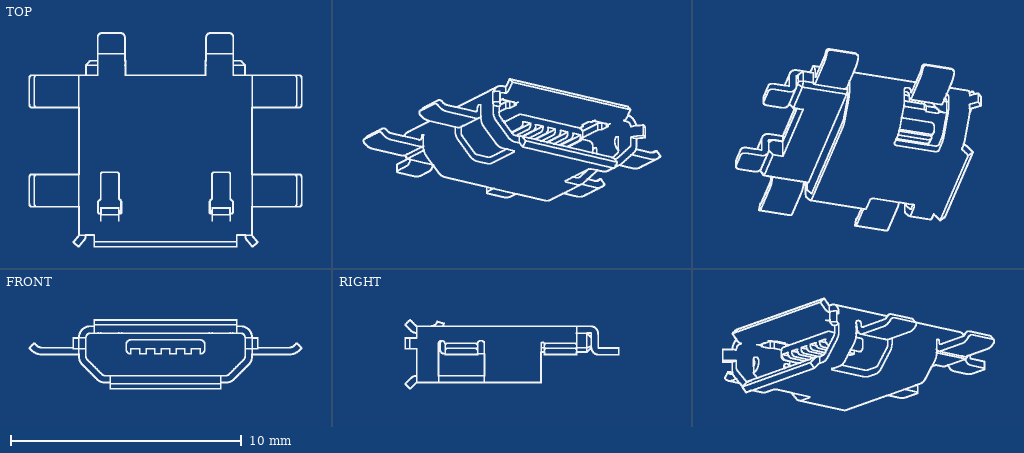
import cadquery as cq
import math

SHEET = 0.31
SHELL_WIDTH = 7.52
SHELL_HEIGHT = 2.46
ROOF_DEPTH = 6.94
FLOOR_DEPTH = 5.39
BELLY_CHAMFER = 0.93
CORNER_RADIUS = 0.51

HALF_WIDTH = SHELL_WIDTH / 2
INNER_WIDTH = SHELL_WIDTH - 2 * SHEET
INNER_HEIGHT = SHELL_HEIGHT - 2 * SHEET
INNER_RADIUS = CORNER_RADIUS - SHEET
INNER_TOP = SHELL_HEIGHT - SHEET
INNER_CHAMFER = BELLY_CHAMFER - SHEET * (2 - math.sqrt(2))

LIP_REACH = 0.51
LIP_RADIUS = 0.05
LIP_ANGLE = 45
ROOF_LIP_WIDTH = 6.19
FLOOR_LIP_WIDTH = 4.8
SIDE_LIP_WIDTH = 0.48
SIDE_LIP_ANGLE = 40
SIDE_LIP_TOP = SHELL_HEIGHT - CORNER_RADIUS

TAB_WIDTH = 1.41
TAB_TOP = 1.52
TAB_ROOT_RADIUS = 0.11
TAB_FRONT_EDGE = 1.23
TAB_SPAN = 11.82
TAB_TIP_RADIUS = 0.33
TAB_TIP_LEG = 0.14
TAB_TIP_ANGLE = 45
TAB_TIP_FILLET = 0.14
TAB_FOLD = TAB_TOP + TAB_ROOT_RADIUS
FRONT_TAB_Y = TAB_FRONT_EDGE + TAB_WIDTH / 2
REAR_TAB_Y = ROOF_DEPTH - TAB_WIDTH / 2

WINDOW_FRONT = 0.95
WINDOW_BACK = 2.93
WINDOW_INNER_X = 1.95
WINDOW_FILLET = 0.14
RELIEF_CENTER = 1.68

SPRING_X = 2.41
SPRING_WIDTH = 0.78
SPRING_ROOT = 0.63
SPRING_RADIUS = 0.27
SPRING_ANGLE = 74
SLOT_BACK = 2.72
SLOT_WIDE_FRONT = 0.92
SLOT_WIDE_BACK = 1.57
SLOT_STEP = 0.12
SLOT_FILLET = 0.07

LEG_X = 2.35
LEG_WIDTH = 1.19
LEG_RADIUS = 0.04
FOOT_RADIUS = 0.04
FOOT_TOP = 1.51
FOOT_END = 8.77
FOOT_FILLET = 0.2

CORE_BACK = 7.56
CORE_REAR_BOTTOM = 1.32
CORE_CHAMFER = 0.19
CORE_GAP_WIDTH = 3.44
TONGUE_WIDTH = 3.4
TONGUE_HEIGHT = 0.6
TONGUE_TOP = 1.85
TONGUE_FRONT = 1.0
TONGUE_FILLET = 0.19
TONGUE_WEB = 0.38
CONTACT_COUNT = 4
CONTACT_PITCH = 0.65
CONTACT_WIDTH = 0.27


def block(x_range, y_range, z_range):
    """Box between the given limits."""
    limits = (x_range, y_range, z_range)
    sizes = [high - low for low, high in limits]
    corner = [low for low, high in limits]
    return cq.Workplane().box(*sizes, centered=False).translate(tuple(corner))


def trough(width, height, bottom, chamfer, radius, y_range):
    """Solid with the D-shaped connector section and rounded corners."""
    half = width / 2
    top = bottom + height
    shoulder = bottom + chamfer
    outline = [
        (-half + chamfer, bottom), (half - chamfer, bottom), (half, shoulder),
        (half, top), (-half, top), (-half, shoulder),
    ]
    front, back = y_range
    solid = cq.Workplane("XZ", origin=(0, front, 0)).polyline(outline).close().extrude(front - back)
    return solid.edges("|Y").fillet(radius)


def bent_strip(origin, run, bend_side, width, radius, angle, leg=0, end_fillet=0):
    """Sheet strip that starts along `run`, bends toward `bend_side` and ends in a straight leg."""
    run = cq.Vector(*run)
    bend_side = cq.Vector(*bend_side)
    plane = cq.Plane(origin=origin, xDir=run, normal=run.cross(bend_side))

    def on_arc(arc_radius, degrees):
        turn = math.radians(degrees)
        return (arc_radius * math.sin(turn), radius - arc_radius * math.cos(turn))

    def along_leg(point):
        turn = math.radians(angle)
        return (point[0] + leg * math.cos(turn), point[1] + leg * math.sin(turn))

    outer = radius + SHEET
    profile = cq.Workplane(plane).threePointArc(on_arc(radius, angle / 2), on_arc(radius, angle))
    if leg:
        profile = profile.lineTo(*along_leg(on_arc(radius, angle)))
    profile = profile.lineTo(*along_leg(on_arc(outer, angle)))
    if leg:
        profile = profile.lineTo(*on_arc(outer, angle))
    profile = profile.threePointArc(on_arc(outer, angle / 2), (0, -SHEET)).close()
    strip = profile.extrude(width / 2, both=True)
    if end_fillet:
        turn = math.radians(angle)
        across = run * math.sin(turn) - bend_side * math.cos(turn)
        strip = strip.edges(cq.selectors.ParallelDirSelector(across)).fillet(end_fillet)
    return strip


def make_shell_body():
    """Folded shell: roof, side walls and the shorter floor."""
    outside = trough(SHELL_WIDTH, SHELL_HEIGHT, 0, BELLY_CHAMFER, CORNER_RADIUS, (0, ROOF_DEPTH))
    inside = trough(INNER_WIDTH, INNER_HEIGHT, SHEET, INNER_CHAMFER, INNER_RADIUS, (0, ROOF_DEPTH))
    behind_floor = block((-HALF_WIDTH, HALF_WIDTH), (FLOOR_DEPTH, ROOF_DEPTH), (0, TAB_FOLD))
    return outside.cut(inside).cut(behind_floor)


def make_window(side):
    """Opening in the side wall and floor around the front tab."""
    x_range = sorted((side * WINDOW_INNER_X, side * HALF_WIDTH))
    window = block(x_range, (WINDOW_FRONT, WINDOW_BACK), (0, TAB_FOLD))
    inner_face = "<X" if side > 0 else ">X"
    return window.faces(inner_face).edges("|Z").fillet(WINDOW_FILLET)


def make_relief(side, front, back):
    """Round-topped slot beside a tab."""
    low_x, high_x = sorted((side * (HALF_WIDTH - SHEET), side * HALF_WIDTH))
    slot = block((low_x, high_x), (front, back), (TAB_FOLD - SHEET, RELIEF_CENTER))
    arc_center = (low_x, (front + back) / 2, RELIEF_CENTER)
    rounded_top = cq.Workplane("YZ", origin=arc_center).circle((back - front) / 2).extrude(SHEET)
    return slot.union(rounded_top)


def make_tab(side, y):
    """Solder tab folded outward, with an upturned rounded tip."""
    turn = math.radians(TAB_TIP_ANGLE)
    tip_reach = (TAB_TIP_RADIUS + SHEET) * math.sin(turn) + TAB_TIP_LEG * math.cos(turn)
    tip_start = TAB_SPAN / 2 - tip_reach
    flat_length = tip_start - HALF_WIDTH - TAB_ROOT_RADIUS
    outward = (side, 0, 0)
    flat = bent_strip(
        (side * HALF_WIDTH, y, TAB_FOLD), (0, 0, -1), outward,
        TAB_WIDTH, TAB_ROOT_RADIUS, 90, flat_length,
    )
    tip = bent_strip(
        (side * tip_start, y, TAB_TOP), outward, (0, 0, 1),
        TAB_WIDTH, TAB_TIP_RADIUS, TAB_TIP_ANGLE, TAB_TIP_LEG, TAB_TIP_FILLET,
    )
    return flat.union(tip)


def make_lip(origin, flare, width, angle):
    """Lip that flares outward from the front edge."""
    turn = math.radians(angle)
    leg = (LIP_REACH - (LIP_RADIUS + SHEET) * math.sin(turn)) / math.cos(turn)
    return bent_strip(origin, (0, -1, 0), flare, width, LIP_RADIUS, angle, leg)


def make_spring_slot(x):
    """Roof slot, wider around the free end of the spring."""
    narrow = SPRING_WIDTH / 2
    wide = narrow + SLOT_STEP
    slot = block((-narrow, narrow), (SPRING_ROOT, SLOT_BACK), (INNER_TOP, SHELL_HEIGHT))
    slot = slot.faces(">Y").edges("|Z").fillet(SLOT_FILLET)
    relief = block((-wide, wide), (SLOT_WIDE_FRONT, SLOT_WIDE_BACK), (INNER_TOP, SHELL_HEIGHT))
    relief = relief.faces(">Y").edges("|Z").chamfer(SLOT_STEP)
    relief = relief.faces("<Y").edges("|Z").fillet(SLOT_FILLET)
    return slot.union(relief).translate((x, 0, 0))


def make_spring(x):
    """Short latch spring curling up out of the roof."""
    return bent_strip(
        (x, SPRING_ROOT, SHELL_HEIGHT), (0, 1, 0), (0, 0, 1),
        SPRING_WIDTH, SPRING_RADIUS, SPRING_ANGLE,
    )


def make_rear_leg(x):
    """Roof extension folded down behind the insulator and out into a foot."""
    bend_start = CORE_BACK - LEG_RADIUS
    foot_bend_top = FOOT_TOP + FOOT_RADIUS
    drop = INNER_TOP - LEG_RADIUS - foot_bend_top
    rear_face = CORE_BACK + SHEET
    foot_length = FOOT_END - rear_face - FOOT_RADIUS
    half = LEG_WIDTH / 2
    strap = block((x - half, x + half), (ROOF_DEPTH, bend_start), (INNER_TOP, SHELL_HEIGHT))
    knee = bent_strip(
        (x, bend_start, INNER_TOP), (0, 1, 0), (0, 0, -1), LEG_WIDTH, LEG_RADIUS, 90, drop,
    )
    foot = bent_strip(
        (x, rear_face, foot_bend_top), (0, 0, -1), (0, 1, 0),
        LEG_WIDTH, FOOT_RADIUS, 90, foot_length, FOOT_FILLET,
    )
    return strap.union(knee).union(foot)


def make_shell():
    shell = make_shell_body()
    for side in (-1, 1):
        shell = shell.cut(make_window(side))
        tab_back_edge = TAB_FRONT_EDGE + TAB_WIDTH
        shell = shell.cut(make_relief(side, WINDOW_FRONT, TAB_FRONT_EDGE))
        shell = shell.cut(make_relief(side, tab_back_edge, WINDOW_BACK))
        shell = shell.cut(make_relief(side, FLOOR_DEPTH, ROOF_DEPTH - TAB_WIDTH))
        shell = shell.cut(make_spring_slot(side * SPRING_X))
        shell = shell.union(make_spring(side * SPRING_X))
        for tab_y in (FRONT_TAB_Y, REAR_TAB_Y):
            shell = shell.union(make_tab(side, tab_y))
        side_lip_origin = (side * HALF_WIDTH, 0, SIDE_LIP_TOP - SIDE_LIP_WIDTH / 2)
        shell = shell.union(make_lip(side_lip_origin, (side, 0, 0), SIDE_LIP_WIDTH, SIDE_LIP_ANGLE))
        shell = shell.union(make_rear_leg(side * LEG_X))
    shell = shell.union(make_lip((0, 0, SHELL_HEIGHT), (0, 0, 1), ROOF_LIP_WIDTH, LIP_ANGLE))
    shell = shell.union(make_lip((0, 0, 0), (0, 0, -1), FLOOR_LIP_WIDTH, LIP_ANGLE))
    return shell


def make_tongue():
    """Rounded tongue whose underside is cut away between the contact ribs."""
    half = TONGUE_WIDTH / 2
    bottom = TONGUE_TOP - TONGUE_HEIGHT
    tongue = block((-half, half), (TONGUE_FRONT, WINDOW_BACK), (bottom, TONGUE_TOP))
    tongue = tongue.edges("not >Y").fillet(TONGUE_FILLET)
    recess_half = half - TONGUE_FILLET
    web_bottom = TONGUE_TOP - TONGUE_WEB
    recess = block((-recess_half, recess_half), (TONGUE_FRONT, WINDOW_BACK), (bottom, web_bottom))
    for index in range(CONTACT_COUNT):
        x = (index - (CONTACT_COUNT - 1) / 2) * CONTACT_PITCH
        x_range = (x - CONTACT_WIDTH / 2, x + CONTACT_WIDTH / 2)
        recess = recess.cut(block(x_range, (TONGUE_FRONT, WINDOW_BACK), (bottom, web_bottom)))
    return tongue.cut(recess)


def make_core():
    """Insulator: plug filling the shell, thinner rear block and contact tongue."""
    plug = trough(
        INNER_WIDTH, INNER_HEIGHT, SHEET, INNER_CHAMFER, INNER_RADIUS, (WINDOW_BACK, FLOOR_DEPTH),
    )
    half = INNER_WIDTH / 2
    rear = block((-half, half), (FLOOR_DEPTH, CORE_BACK), (CORE_REAR_BOTTOM, INNER_TOP))
    rear = rear.faces(">Z").edges("|Y").fillet(INNER_RADIUS)
    rear = rear.faces("<Z").edges("|Y").chamfer(CORE_CHAMFER)
    rear = rear.faces(">Y").edges().chamfer(CORE_CHAMFER)
    gap_half = CORE_GAP_WIDTH / 2
    gap = block((-gap_half, gap_half), (ROOF_DEPTH, CORE_BACK), (CORE_REAR_BOTTOM, INNER_TOP))
    rear = rear.cut(gap)
    return plug.union(rear).union(make_tongue())


shell = make_shell()
core = make_core()
result = cq.Compound.makeCompound([shell.solids().val(), core.solids().val()])